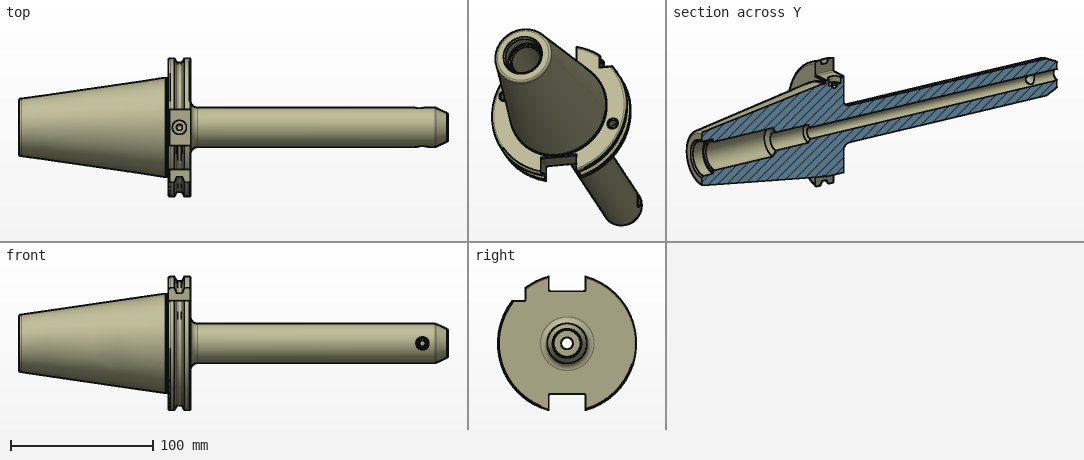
import cadquery as cq
import math


TOTAL_LENGTH = 301.8

DRILL_POINT_ANGLE = 118.0
COUNTERSINK_ANGLE = 90.0

RING_TOLERANCE = 0.03

TAPER_RATIO = 7 / 24
GAUGE_X = 102.3
GAUGE_DIAMETER = 70.0
TAPER_END_DIAMETER = GAUGE_DIAMETER - TAPER_RATIO * GAUGE_X
TAPER_END_ROUND = 1.8

NECK_LENGTH = 2.7
NECK_GROOVE_WIDTH = NECK_LENGTH / 3
NECK_GROOVE_DEPTH = 0.3

FLANGE_DIAMETER = 97.5
FLANGE_RADIUS = FLANGE_DIAMETER / 2
FLANGE_WIDTH = 15.7
FLANGE_START_X = GAUGE_X + NECK_LENGTH
FLANGE_END_X = FLANGE_START_X + FLANGE_WIDTH
FRONT_RIM_FILLET = 1.5
BACK_RIM_FILLET = 1.0

GROOVE_OFFSET = 10.5
GROOVE_CENTER_X = GAUGE_X + GROOVE_OFFSET
GROOVE_BOTTOM_WIDTH = 3.5
GROOVE_BOTTOM_FILLET = 1.0
GROOVE_DEPTH = 3.0
GROOVE_FLANK_ANGLE = 30.0
GROOVE_TOP_WIDTH = GROOVE_BOTTOM_WIDTH + 2 * GROOVE_DEPTH * math.tan(math.radians(GROOVE_FLANK_ANGLE))

SLOT_WIDTH = 25.5
SLOT_CORNER_FILLET = 1.0
SLOT_FLOOR_CHAMFER = 1.0
UPPER_SLOT_FLOOR_Z = 36.8
LOWER_SLOT_FLOOR_Z = -35.5
NOTCH_Y = -29.3
NOTCH_Z = 30.0

CHIP_DIAMETER = 10.0
CHIP_DEPTH = 4.5
CHIP_PILOT_DIAMETER = 4.2
CHIP_PILOT_DEPTH = 1.5

FACE_HOLE_CIRCLE_RADIUS = 41.5
FACE_HOLE_ANGLES = (20.0, 200.0)
FACE_HOLE_MOUTH_DIAMETER = 7.8
FACE_HOLE_DIAMETER = 6.0
FACE_HOLE_DEPTH = 9.0

SHANK_DIAMETER = 28.0
SHANK_RADIUS = SHANK_DIAMETER / 2
SHANK_FILLET = 4.8
NOSE_LENGTH = 9.0
NOSE_DIAMETER = 20.5
NOSE_CHAMFER = 1.0
NOSE_SHOULDER_FILLET = 2.5

MOUTH_DIAMETER = 28.0
PILOT_DIAMETER = 25.5
PILOT_DEPTH = 9.7
THREAD_MOUTH_DIAMETER = 23.2
THREAD_DIAMETER = 21.0
THREAD_DEPTH = 60.5
FEED_DIAMETER = 13.3
FEED_DEPTH = 90.5
TOOL_BORE_DIAMETER = 8.0

SCREW_TO_NOSE_END = 18.0
SCREW_X = TOTAL_LENGTH - SCREW_TO_NOSE_END
SCREW_DIAMETER = 8.0
SCREW_HOLE_MOUTH_DIAMETER = 9.0
SCREW_TOP_DEPTH = 1.5
SCREW_CHAMFER = 1.0
SOCKET_ACROSS_FLATS = 4.0
SOCKET_DEPTH = 3.5

RELIEF_OFFSET = 2.0
RELIEF_X = SCREW_X - RELIEF_OFFSET
RELIEF_DIAMETER = 7.2


def slope_length(outer_diameter, inner_diameter, point_angle):
    """Axial length of a cone between two diameters with the given full angle."""
    return (outer_diameter - inner_diameter) / 2 / math.tan(math.radians(point_angle / 2))


def revolve_about_x(profile):
    return profile.close().revolve(360, (0, 0, 0), (1, 0, 0))


def make_blank():
    """Solid taper, neck, flange and shank in one turned profile."""
    gauge_radius = GAUGE_DIAMETER / 2
    neck_groove_radius = gauge_radius - NECK_GROOVE_DEPTH
    neck_groove_start_x = GAUGE_X + NECK_GROOVE_WIDTH
    neck_groove_end_x = neck_groove_start_x + NECK_GROOVE_WIDTH
    groove_floor_radius = FLANGE_RADIUS - GROOVE_DEPTH
    fillet_mid = SHANK_FILLET * (1 - math.sqrt(0.5))
    nose_radius = NOSE_DIAMETER / 2
    end_round_radius = TAPER_END_DIAMETER / 2 + TAPER_END_ROUND * TAPER_RATIO / 2
    end_face_radius = end_round_radius - TAPER_END_ROUND
    round_mid = TAPER_END_ROUND * math.sqrt(0.5)
    profile = (
        cq.Workplane("XZ")
        .moveTo(0, 0)
        .lineTo(0, end_face_radius)
        .threePointArc(
            (TAPER_END_ROUND - round_mid, end_face_radius + round_mid),
            (TAPER_END_ROUND, end_round_radius),
        )
        .lineTo(GAUGE_X, gauge_radius)
        .lineTo(neck_groove_start_x, gauge_radius)
        .lineTo(neck_groove_start_x, neck_groove_radius)
        .lineTo(neck_groove_end_x, neck_groove_radius)
        .lineTo(neck_groove_end_x, gauge_radius)
        .lineTo(FLANGE_START_X, gauge_radius)
        .lineTo(FLANGE_START_X, FLANGE_RADIUS)
        .lineTo(GROOVE_CENTER_X - GROOVE_TOP_WIDTH / 2, FLANGE_RADIUS)
        .lineTo(GROOVE_CENTER_X - GROOVE_BOTTOM_WIDTH / 2, groove_floor_radius)
        .lineTo(GROOVE_CENTER_X + GROOVE_BOTTOM_WIDTH / 2, groove_floor_radius)
        .lineTo(GROOVE_CENTER_X + GROOVE_TOP_WIDTH / 2, FLANGE_RADIUS)
        .lineTo(FLANGE_END_X, FLANGE_RADIUS)
        .lineTo(FLANGE_END_X, SHANK_RADIUS + SHANK_FILLET)
        .threePointArc(
            (FLANGE_END_X + fillet_mid, SHANK_RADIUS + fillet_mid),
            (FLANGE_END_X + SHANK_FILLET, SHANK_RADIUS),
        )
        .lineTo(TOTAL_LENGTH - NOSE_LENGTH, SHANK_RADIUS)
        .lineTo(TOTAL_LENGTH - NOSE_CHAMFER, nose_radius)
        .lineTo(TOTAL_LENGTH, nose_radius - NOSE_CHAMFER)
        .lineTo(TOTAL_LENGTH, 0)
    )
    return revolve_about_x(profile)


def fillet_ring(body, x, ring_radius, fillet_radius):
    """Round the circular edge of the given radius that lies at x."""

    def is_ring(edge):
        if edge.geomType() != "CIRCLE":
            return False
        same_place = abs(edge.Center().x - x) < RING_TOLERANCE
        same_radius = abs(edge.radius() - ring_radius) < RING_TOLERANCE
        return same_place and same_radius

    return body.newObject([edge for edge in body.edges().vals() if is_ring(edge)]).fillet(fillet_radius)


def round_blank(body):
    groove_floor_radius = FLANGE_RADIUS - GROOVE_DEPTH
    half_floor = GROOVE_BOTTOM_WIDTH / 2
    body = fillet_ring(body, FLANGE_START_X, FLANGE_RADIUS, FRONT_RIM_FILLET)
    body = fillet_ring(body, FLANGE_END_X, FLANGE_RADIUS, BACK_RIM_FILLET)
    body = fillet_ring(body, GROOVE_CENTER_X - half_floor, groove_floor_radius, GROOVE_BOTTOM_FILLET)
    body = fillet_ring(body, GROOVE_CENTER_X + half_floor, groove_floor_radius, GROOVE_BOTTOM_FILLET)
    return fillet_ring(body, TOTAL_LENGTH - NOSE_LENGTH, SHANK_RADIUS, NOSE_SHOULDER_FILLET)


def make_bore():
    """Stepped bore through the whole length, as a solid to cut away."""
    mouth_length = slope_length(MOUTH_DIAMETER, PILOT_DIAMETER, COUNTERSINK_ANGLE)
    thread_mouth_length = slope_length(THREAD_MOUTH_DIAMETER, THREAD_DIAMETER, COUNTERSINK_ANGLE)
    thread_slope = slope_length(THREAD_DIAMETER, FEED_DIAMETER, DRILL_POINT_ANGLE)
    feed_slope = slope_length(FEED_DIAMETER, TOOL_BORE_DIAMETER, DRILL_POINT_ANGLE)
    profile = (
        cq.Workplane("XZ")
        .moveTo(0, 0)
        .lineTo(0, MOUTH_DIAMETER / 2)
        .lineTo(mouth_length, PILOT_DIAMETER / 2)
        .lineTo(PILOT_DEPTH, PILOT_DIAMETER / 2)
        .lineTo(PILOT_DEPTH, THREAD_MOUTH_DIAMETER / 2)
        .lineTo(PILOT_DEPTH + thread_mouth_length, THREAD_DIAMETER / 2)
        .lineTo(THREAD_DEPTH, THREAD_DIAMETER / 2)
        .lineTo(THREAD_DEPTH + thread_slope, FEED_DIAMETER / 2)
        .lineTo(FEED_DEPTH, FEED_DIAMETER / 2)
        .lineTo(FEED_DEPTH + feed_slope, TOOL_BORE_DIAMETER / 2)
        .lineTo(TOTAL_LENGTH, TOOL_BORE_DIAMETER / 2)
        .lineTo(TOTAL_LENGTH, 0)
    )
    return revolve_about_x(profile)


def make_slot(y_min, y_max, floor_z, corner_edges):
    """Slot across the flange, open upwards, with rounded floor corners and a chamfered front floor edge."""
    width = y_max - y_min
    height = FLANGE_RADIUS - floor_z
    slot = (
        cq.Workplane("XY", origin=(FLANGE_START_X, y_min, floor_z))
        .box(FLANGE_WIDTH, width, height, centered=False)
        .edges(corner_edges)
        .fillet(SLOT_CORNER_FILLET)
    )
    chamfer = (
        cq.Workplane("XZ", origin=(FLANGE_START_X, y_min, floor_z))
        .lineTo(SLOT_FLOOR_CHAMFER, 0)
        .lineTo(0, -SLOT_FLOOR_CHAMFER)
        .close()
        .extrude(-width)
    )
    return slot, chamfer


def cut_flange_slots(body):
    half_slot = SLOT_WIDTH / 2
    both_corners = "|X and <Z"
    upper_slot = make_slot(-half_slot, half_slot, UPPER_SLOT_FLOOR_Z, both_corners)
    lower_slot = [
        cutter.rotate((0, 0, 0), (1, 0, 0), 180)
        for cutter in make_slot(-half_slot, half_slot, -LOWER_SLOT_FLOOR_Z, both_corners)
    ]
    notch = make_slot(-FLANGE_RADIUS, NOTCH_Y, NOTCH_Z, "|X and <Z and >Y")
    for cutter in (*upper_slot, *lower_slot, *notch):
        body = body.cut(cutter)
    return body


def make_stepped_hole(mouth_diameter, mouth_profile, diameter, depth):
    """Cutter for a blind hole along +X from the origin, with a wider mouth and a drill point.

    The mouth profile lists (depth, diameter) points from the surface down to the narrower hole.
    """
    tip = depth + slope_length(diameter, 0, DRILL_POINT_ANGLE)
    profile = cq.Workplane("XZ").moveTo(0, 0).lineTo(0, mouth_diameter / 2)
    for mouth_depth, mouth_step in mouth_profile:
        profile = profile.lineTo(mouth_depth, mouth_step / 2)
    return revolve_about_x(profile.lineTo(depth, diameter / 2).lineTo(tip, 0))


def cut_chip_pocket(body):
    """Flat-bottomed pocket with a small drilled hole at its center."""
    shoulder = [(CHIP_DEPTH, CHIP_DIAMETER), (CHIP_DEPTH, CHIP_PILOT_DIAMETER)]
    pocket = make_stepped_hole(CHIP_DIAMETER, shoulder, CHIP_PILOT_DIAMETER, CHIP_DEPTH + CHIP_PILOT_DEPTH)
    pocket = pocket.rotate((0, 0, 0), (0, 1, 0), 90)
    return body.cut(pocket.translate((GROOVE_CENTER_X, 0, UPPER_SLOT_FLOOR_Z)))


def cut_face_holes(body):
    """Countersunk blind holes parallel to the axis."""
    sink_depth = slope_length(FACE_HOLE_MOUTH_DIAMETER, FACE_HOLE_DIAMETER, COUNTERSINK_ANGLE)
    sink = [(sink_depth, FACE_HOLE_DIAMETER)]
    hole = make_stepped_hole(FACE_HOLE_MOUTH_DIAMETER, sink, FACE_HOLE_DIAMETER, FACE_HOLE_DEPTH)
    for angle in FACE_HOLE_ANGLES:
        y = FACE_HOLE_CIRCLE_RADIUS * math.cos(math.radians(angle))
        z = FACE_HOLE_CIRCLE_RADIUS * math.sin(math.radians(angle))
        body = body.cut(hole.translate((FLANGE_START_X, y, z)))
    return body


def cut_screw_hole(body):
    """Radial hole from the -Y side into the bore, with a slightly wider mouth."""
    hole = cq.Workplane("XZ", origin=(SCREW_X, 0, 0)).circle(SCREW_DIAMETER / 2).extrude(SHANK_RADIUS)
    mouth = (
        cq.Workplane("XZ", origin=(SCREW_X, -SHANK_RADIUS, 0))
        .circle(SCREW_HOLE_MOUTH_DIAMETER / 2)
        .extrude(-SCREW_TOP_DEPTH)
    )
    return body.cut(hole).cut(mouth)


def cut_relief_hole(body):
    hole = cq.Workplane("XZ", origin=(RELIEF_X, 0, 0)).circle(RELIEF_DIAMETER / 2).extrude(-SHANK_RADIUS)
    return body.cut(hole)


def make_holder():
    body = round_blank(make_blank()).cut(make_bore())
    body = cut_flange_slots(body)
    body = cut_chip_pocket(body)
    body = cut_face_holes(body)
    body = cut_screw_hole(body)
    return cut_relief_hole(body)


def make_screw():
    """Headless screw with a hexagon socket, ending at the wall of the tool bore."""
    top_y = -SHANK_RADIUS + SCREW_TOP_DEPTH
    length = -TOOL_BORE_DIAMETER / 2 - top_y
    socket_corner_diameter = SOCKET_ACROSS_FLATS / math.cos(math.radians(30))
    top_plane = cq.Workplane("XZ", origin=(SCREW_X, top_y, 0))
    screw = top_plane.circle(SCREW_DIAMETER / 2).extrude(-length).faces("<Y").chamfer(SCREW_CHAMFER)
    socket = top_plane.polygon(6, socket_corner_diameter).extrude(-SOCKET_DEPTH)
    return screw.cut(socket)


holder = make_holder()
screw = make_screw()

result = cq.Compound.makeCompound([holder.val(), screw.val()])